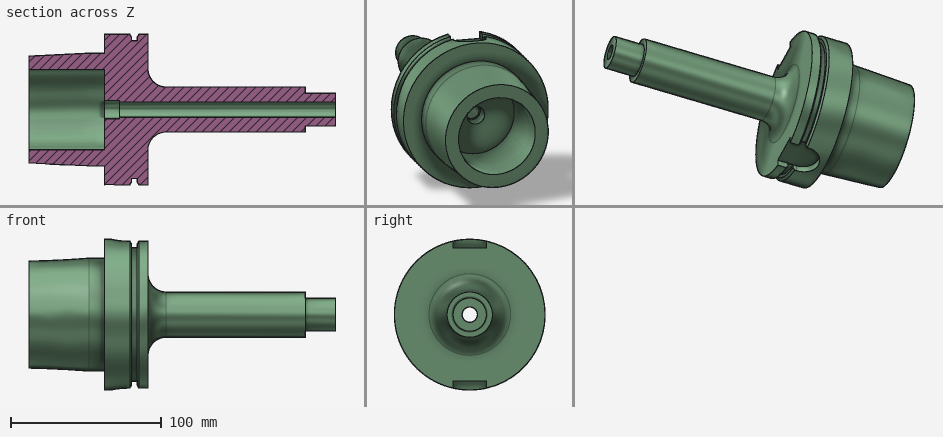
import cadquery as cq
import math


shank_length = 50
neck_length = 10
neck_radius = 37.5
taper_ratio = 10
taper_length = shank_length - neck_length
shank_end_radius = neck_radius - taper_length / taper_ratio / 2

flange_radius = 50
flange_width = 29
groove_center = 19.9
groove_width = 3.75
groove_depth = 4.2
groove_lip_depth = 2
groove_lip_angle = 30
groove_half = groove_width / 2
groove_mouth_half = groove_half + groove_lip_depth * math.tan(math.radians(groove_lip_angle))

arbor_radius = 15
arbor_end = 133.3
arbor_fillet = 12
pilot_radius = 11
pilot_length = 20
overall_reach = arbor_end + pilot_length

socket_radius = 26.5
socket_depth = shank_length
socket_floor = socket_depth - shank_length
hole_radius = 5
hole_counterbore_radius = 6
hole_counterbore_depth = 10

keyway_width = 22
keyway_start = 4.5
keyway_floor = 44


def turned_body():
    """Revolve the outer profile about the X axis."""
    root_radius = flange_radius - groove_depth
    lip_radius = flange_radius - groove_lip_depth
    profile = (
        cq.Workplane("XY")
        .moveTo(-shank_length, 0)
        .lineTo(-shank_length, shank_end_radius)
        .lineTo(-neck_length, neck_radius)
        .lineTo(0, neck_radius)
        .lineTo(0, flange_radius)
        .lineTo(groove_center - groove_mouth_half, flange_radius)
        .lineTo(groove_center - groove_half, lip_radius)
        .lineTo(groove_center - groove_half, root_radius)
        .lineTo(groove_center + groove_half, root_radius)
        .lineTo(groove_center + groove_half, lip_radius)
        .lineTo(groove_center + groove_mouth_half, flange_radius)
        .lineTo(flange_width, flange_radius)
        .lineTo(flange_width, arbor_radius + arbor_fillet)
        .radiusArc((flange_width + arbor_fillet, arbor_radius), -arbor_fillet)
        .lineTo(arbor_end, arbor_radius)
        .lineTo(arbor_end, pilot_radius)
        .lineTo(overall_reach, pilot_radius)
        .lineTo(overall_reach, 0)
        .close()
    )
    return profile.revolve(360, (0, 0, 0), (1, 0, 0))


def bore(radius, start, end):
    """Cylinder on the X axis between two positions."""
    return cq.Workplane("YZ").workplane(offset=start).circle(radius).extrude(end - start)


def keyway(side):
    """Round-ended slot open at the back of the flange, on the +Z (1) or -Z (-1) side."""
    end_radius = keyway_width / 2
    end_center = keyway_start + end_radius
    floor = cq.Workplane("XY").workplane(offset=side * keyway_floor)
    cut_height = side * (flange_radius - keyway_floor)
    straight_length = flange_width - end_center
    straight = (
        floor.center(end_center + straight_length / 2, 0)
        .rect(straight_length, keyway_width)
        .extrude(cut_height)
    )
    round_end = floor.center(end_center, 0).circle(end_radius).extrude(cut_height)
    return straight.union(round_end)


result = turned_body()
for side in (1, -1):
    result = result.cut(keyway(side))

result = result.cut(bore(socket_radius, -shank_length, socket_floor))
result = result.cut(bore(hole_counterbore_radius, socket_floor, socket_floor + hole_counterbore_depth))
result = result.cut(bore(hole_radius, socket_floor, overall_reach))